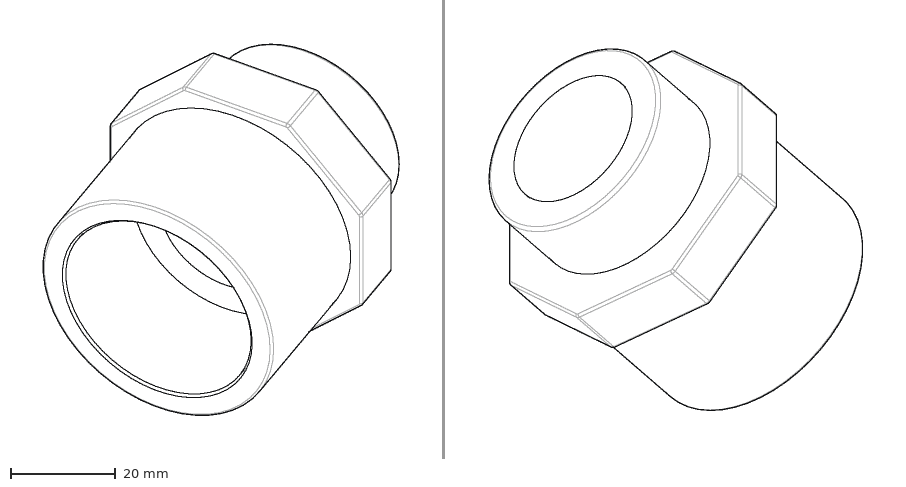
import cadquery as cq

TOTAL_LENGTH = 59.5
SOCKET_LENGTH = 31.0
COLLAR_WIDTH = 12.0
SPIGOT_START = SOCKET_LENGTH + COLLAR_WIDTH
SPIGOT_LENGTH = TOTAL_LENGTH - SPIGOT_START

ACROSS_FLATS = 54.9
COLLAR_SIDES = 8
CORNER_RADIUS = 1.0
FACE_EDGE_RADIUS = 0.5

SOCKET_DIAMETER = 50.1
SOCKET_RIM_RADIUS = 0.5
BORE_MOUTH_DIAMETER = 40.3
BORE_BOTTOM_DIAMETER = 39.9
BORE_DEPTH = 26.5
BORE_CHAMFER = 0.5

SPIGOT_DIAMETER = 40.5
SPIGOT_END_RADIUS = 0.7
PASSAGE_DIAMETER = 28.0


def plane_at(y):
    """XZ work plane at the given Y, with its normal along +Y."""
    return cq.Workplane(cq.Plane(origin=(0, y, 0), xDir=(1, 0, 0), normal=(0, 1, 0)))


def make_collar():
    octagon = (
        plane_at(SOCKET_LENGTH)
        .polygon(COLLAR_SIDES, ACROSS_FLATS, circumscribed=True)
        .extrude(COLLAR_WIDTH)
    )
    rounded = octagon.edges("|Y").fillet(CORNER_RADIUS)
    return rounded.faces("<Y or >Y").edges().fillet(FACE_EDGE_RADIUS)


def make_socket_body():
    body = plane_at(0).circle(SOCKET_DIAMETER / 2).extrude(SOCKET_LENGTH)
    return body.faces("<Y").edges().fillet(SOCKET_RIM_RADIUS)


def make_spigot():
    spigot = plane_at(SPIGOT_START).circle(SPIGOT_DIAMETER / 2).extrude(SPIGOT_LENGTH)
    return spigot.faces(">Y").edges().fillet(SPIGOT_END_RADIUS)


def make_socket_bore():
    """Tapered bore with a chamfered mouth, as a solid to cut away."""
    mouth_radius = BORE_MOUTH_DIAMETER / 2
    return (
        cq.Workplane("XY")
        .moveTo(0, 0)
        .lineTo(mouth_radius + BORE_CHAMFER, 0)
        .lineTo(mouth_radius, BORE_CHAMFER)
        .lineTo(BORE_BOTTOM_DIAMETER / 2, BORE_DEPTH)
        .lineTo(0, BORE_DEPTH)
        .close()
        .revolve(360, (0, 0, 0), (0, 1, 0))
    )


def make_passage():
    return plane_at(0).circle(PASSAGE_DIAMETER / 2).extrude(TOTAL_LENGTH)


outside = make_collar().union(make_socket_body()).union(make_spigot())
result = outside.cut(make_socket_bore()).cut(make_passage())